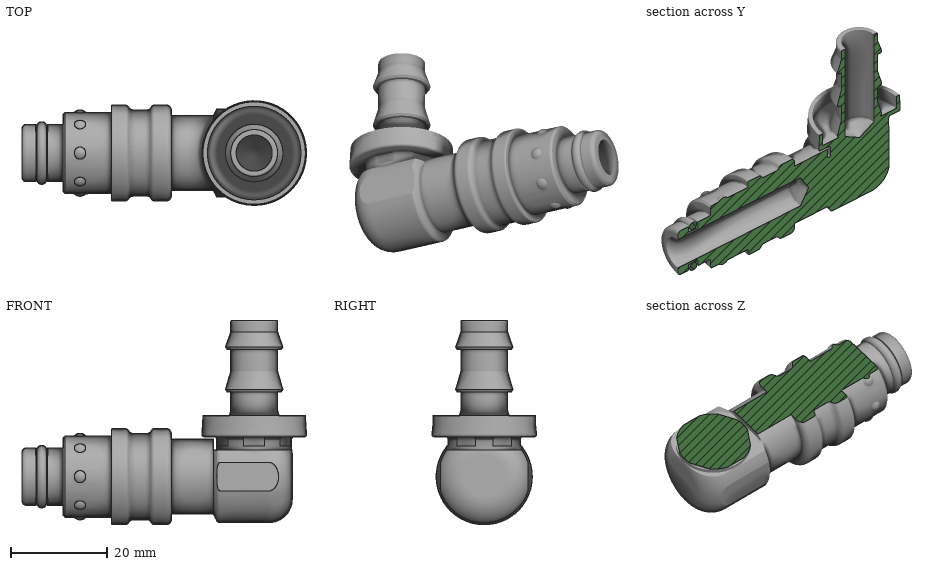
import cadquery as cq
import math

bore_radius = 7.5 / 2
bore_cone_height = 2.2
tip_radius = 11.95 / 2
tip_fillet = 0.95
groove_radius = 9.0 / 2
groove_start = 2.9
groove_end = 5.3
seal_section = 2.0

sleeve_start = 8.6
sleeve_radius = 16.95 / 2
sleeve_chamfer = 0.4
bump_count = 8
bump_x = 12.1
bump_radius = 1.2
bump_height = 0.55
collar_radius = 20.0 / 2
collar_1_start = 18.6
waist_start = 23.1
waist_end = 26.1
collar_2_end = 31.1
collar_edge_fillet = 0.35
collar_1_blend_length = 1.8
collar_2_blend_length = 1.55
collar_rear_fillet = 1.1
waist_radius = 18.0 / 2
pipe_radius = 15.6 / 2
run_bore_depth = 32.55

elbow_start = 39.85
elbow_length = 16.4
elbow_end = elbow_start + elbow_length
elbow_radius = 9.6
elbow_cone_length = 0.7
elbow_cone_end_radius = 9.2
elbow_front_arc_length = 0.65
elbow_end_fillet = 5.0
elbow_top = 5.5
elbow_across_flats = 18.25

stem_x = 48.3
neck_radius = 15.6 / 2
neck_flare = 0.25
neck_flare_height = 0.4
neck_flat_count = 6
neck_flat_width = 4.4
neck_flat_bottom = 6.35
flange_bottom = 8.3
flange_top = 12.65
flange_radius = 21.8 / 2
flange_top_radius = 10.65
flange_fillet = 0.5
recess_radius = 19.5 / 2
recess_floor = 9.5

stem_top = 32.5
stem_radius = 9.75 / 2
stem_fillet = 0.35
barb_radius = 11.95 / 2
barb_lip = 0.5
barb_undercut = 0.35
barb_length = 4.25
lower_barb_bottoms = (recess_floor, 17.65)
top_barb_bottom = 26.45
top_barb_length = 3.6
stem_bore_depth = 23.7


def x_cylinder(start, end, radius):
    return cq.Workplane("YZ", origin=(start, 0, 0)).circle(radius).extrude(end - start)


def z_cylinder(bottom, top, radius):
    return cq.Workplane("XY", origin=(stem_x, 0, bottom)).circle(radius).extrude(top - bottom)


def drilled_hole(depth):
    """Blind hole with a conical end, along +Z from the origin."""
    return (
        cq.Workplane("XZ")
        .polyline([(0, 0), (bore_radius, 0), (bore_radius, depth), (0, depth + bore_cone_height)])
        .close()
        .revolve(360, (0, 0), (0, 1))
    )


def make_collars():
    """Two collars that run down to the waist between them in S-shaped blends."""
    middle_radius = (collar_radius + waist_radius) / 2
    step = collar_radius - waist_radius
    blend_1_start = waist_start - collar_1_blend_length
    blend_2_end = waist_end + collar_2_blend_length
    blend_1_radius = (collar_1_blend_length**2 + step**2) / (4 * step)
    blend_2_radius = (collar_2_blend_length**2 + step**2) / (4 * step)
    collars = (
        cq.Workplane("XY")
        .moveTo(collar_1_start, 0)
        .lineTo(collar_1_start, collar_radius)
        .lineTo(blend_1_start, collar_radius)
        .radiusArc((blend_1_start + collar_1_blend_length / 2, middle_radius), blend_1_radius)
        .radiusArc((waist_start, waist_radius), -blend_1_radius)
        .lineTo(waist_end, waist_radius)
        .radiusArc((waist_end + collar_2_blend_length / 2, middle_radius), -blend_2_radius)
        .radiusArc((blend_2_end, collar_radius), blend_2_radius)
        .lineTo(collar_2_end, collar_radius)
        .lineTo(collar_2_end, 0)
        .close()
        .revolve(360, (0, 0), (1, 0))
    )
    collars = collars.faces("<X").edges().fillet(collar_edge_fillet)
    return collars.faces(">X").edges().fillet(collar_rear_fillet)


def make_run():
    tip = x_cylinder(0, sleeve_start, tip_radius).faces("<X").edges().fillet(tip_fillet)
    groove = x_cylinder(groove_start, groove_end, collar_radius).cut(
        x_cylinder(groove_start, groove_end, groove_radius)
    )
    sleeve = x_cylinder(sleeve_start, collar_1_start, sleeve_radius)
    sleeve = sleeve.faces("<X").edges().chamfer(sleeve_chamfer)
    run = tip.cut(groove).union(sleeve).union(make_collars())
    return run.union(x_cylinder(collar_2_end, elbow_start, pipe_radius))


def make_bumps():
    """Spherical caps spread evenly around the sleeve."""
    sphere_radius = (bump_radius**2 + bump_height**2) / (2 * bump_height)
    centre_distance = sleeve_radius + bump_height - sphere_radius
    bumps = cq.Workplane("XY")
    for i in range(bump_count):
        angle = 2 * math.pi * i / bump_count
        centre = (bump_x, centre_distance * math.cos(angle), centre_distance * math.sin(angle))
        bumps = bumps.union(cq.Workplane("XY").sphere(sphere_radius).translate(centre))
    return bumps


def make_elbow():
    cone_end = elbow_start + elbow_cone_length
    arc_end = cone_end + elbow_front_arc_length
    arc_drop = elbow_radius - elbow_cone_end_radius
    front_arc_radius = (elbow_front_arc_length**2 + arc_drop**2) / (2 * arc_drop)
    elbow = (
        cq.Workplane("XY")
        .moveTo(elbow_start, 0)
        .lineTo(elbow_start, pipe_radius)
        .lineTo(cone_end, elbow_cone_end_radius)
        .radiusArc((arc_end, elbow_radius), front_arc_radius)
        .lineTo(elbow_end - elbow_end_fillet, elbow_radius)
        .radiusArc((elbow_end, elbow_radius - elbow_end_fillet), elbow_end_fillet)
        .lineTo(elbow_end, 0)
        .close()
        .revolve(360, (0, 0), (1, 0))
    )
    height = elbow_top + elbow_radius
    envelope = cq.Workplane("XY", origin=(elbow_start, 0, -elbow_radius)).box(
        elbow_length, elbow_across_flats, height, centered=(False, True, False)
    )
    return elbow.intersect(envelope)


def make_neck():
    flared_radius = neck_radius + neck_flare
    neck = (
        cq.Workplane("XZ", origin=(stem_x, 0, 0))
        .polyline([
            (0, elbow_top),
            (neck_radius, elbow_top),
            (neck_radius, flange_bottom - neck_flare_height),
            (flared_radius, flange_bottom),
            (0, flange_bottom),
        ])
        .close()
        .revolve(360, (0, 0), (0, 1))
    )
    flat_distance = math.sqrt(neck_radius**2 - (neck_flat_width / 2) ** 2)
    for i in range(neck_flat_count):
        pocket = cq.Workplane("XY", origin=(0, flat_distance, neck_flat_bottom)).box(
            neck_flat_width, neck_radius, flange_bottom - neck_flat_bottom, centered=(True, False, False)
        )
        pocket = pocket.rotate((0, 0, 0), (0, 0, 1), i * 360 / neck_flat_count)
        neck = neck.cut(pocket.translate((stem_x, 0, 0)))
    return neck


def make_flange():
    fillet_top = flange_bottom + flange_fillet
    flange = (
        cq.Workplane("XZ", origin=(stem_x, 0, 0))
        .moveTo(0, flange_bottom)
        .lineTo(flange_radius - flange_fillet, flange_bottom)
        .radiusArc((flange_radius, fillet_top), -flange_fillet)
        .lineTo(flange_top_radius, flange_top)
        .lineTo(0, flange_top)
        .close()
        .revolve(360, (0, 0), (0, 1))
    )
    return flange.cut(z_cylinder(recess_floor, flange_top, recess_radius))


def make_barb(bottom, length):
    """Hose barb that widens downward to a short lip with an undercut."""
    return (
        cq.Workplane("XZ", origin=(stem_x, 0, 0))
        .polyline([
            (0, bottom),
            (barb_radius - barb_undercut, bottom),
            (barb_radius, bottom + barb_lip),
            (stem_radius, bottom + length),
            (0, bottom + length),
        ])
        .close()
        .revolve(360, (0, 0), (0, 1))
    )


def make_stem():
    stem = z_cylinder(recess_floor, stem_top, stem_radius).faces(">Z").edges().fillet(stem_fillet)
    stem = stem.union(make_barb(top_barb_bottom, top_barb_length))
    for bottom in lower_barb_bottoms:
        stem = stem.union(make_barb(bottom, barb_length))
    return stem


def make_fitting():
    fitting = make_run().union(make_bumps()).union(make_elbow())
    fitting = fitting.union(make_neck()).union(make_flange()).union(make_stem())
    run_bore = drilled_hole(run_bore_depth).rotate((0, 0, 0), (0, 1, 0), 90)
    stem_bore = drilled_hole(stem_bore_depth).rotate((0, 0, 0), (1, 0, 0), 180)
    return fitting.cut(run_bore).cut(stem_bore.translate((stem_x, 0, stem_top)))


def make_seal_ring():
    section_radius = seal_section / 2
    ring_radius = groove_radius + section_radius
    ring_x = (groove_start + groove_end) / 2
    ring = cq.Solid.makeTorus(ring_radius, section_radius, cq.Vector(ring_x, 0, 0), cq.Vector(1, 0, 0))
    return cq.Workplane("XY").newObject([ring])


fitting = make_fitting()
seal_ring = make_seal_ring()
result = cq.Compound.makeCompound([fitting.val(), seal_ring.val()])